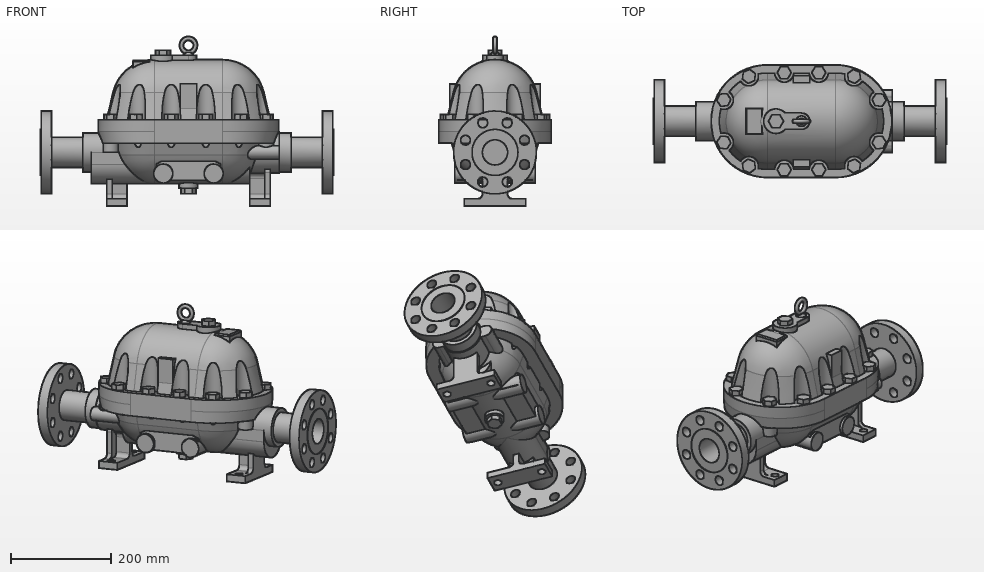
import cadquery as cq
import math

overall_length = 584.0
overall_width = 225.0
body_x = 3.0
half_straight = 68.0

flange_radius = overall_width / 2
flange_top = 65.5
flange_seam = 42.0
flange_bottom = 18.5
lower_flange_end_draft = 4.0

cover_crown_z = 185.0
cover_crown_radius = 85.0
cover_taper = 13.5
bowl_crown_z = -62.5
bowl_crown_radius = 83.5
bowl_taper = 17.6

bolt_circle_diameter = 193.5
bolt_circle_radius = bolt_circle_diameter / 2
bolt_straight_x = 34.5
bolt_end_angles = (26.0, 67.5)
bolt_head_corners = 28.0
bolt_head_height = 10.5
flute_diameter = 38.0
spotface_diameter = 25.0
end_boss_diameter = 30.5
end_boss_bottom = 0.5

pipe_flange_diameter = 165.0
pipe_flange_thickness = 21.0
raised_face_diameter = 91.5
raised_face_height = 1.0
pipe_diameter = 61.0
bore_diameter = 50.0
bore_depth = 84.5
socket_diameter = 78.0
socket_end_x = 207.5
flange_hole_diameter = 19.0
flange_hole_circle = 127.5
flange_hole_count = 8

outlet_boss_diameter = 83.0
outlet_boss_end_x = 184.0
lug_diameter = 27.0
lug_y = 49.0

trough_start_x = -191.0
trough_axis_z = -23.5
trough_radius = socket_diameter / 2

foot_bottom = -107.0
foot_inner_x = 122.0
foot_length = 41.0
foot_width = 122.5
foot_thickness = 14.5
foot_plate_thickness = 11.0
foot_plate_width = 50.0
foot_plate_top = -27.5
foot_plate_rounding = 11.5
foot_web_thickness = 11.5
foot_fillet = 10.0
foot_hole_diameter = 15.0
foot_hole_y = 47.0

port_diameter = 38.0
port_x = 50.0
port_z = -42.0
port_face_y = 80.5
port_pad_y = 74.0
port_pad_half_length = 64.0
port_pad_top = -17.0
port_pad_bottom = -55.5
port_pad_corner = (6.5, 11.5)

side_pad_width = 32.5
side_pad_y = 90.5
side_pad_top = 136.5
name_pad_x = -94.0
name_pad_length = 34.0
name_pad_width = 52.5
name_pad_top = 184.0
name_pad_height = 29.0
name_pad_bevel = (3.5, 2.0)

top_pad_z = 194.0
top_plug_x = -51.0
top_plug_pad_radius = 24.5
eye_pad_radius = 16.5
plug_hex_corners = 30.5
top_plug_height = 10.0
eye_outer_diameter = 36.0
eye_hole_diameter = 19.0
eye_top_z = 231.0
eye_base_diameter = 21.0
eye_neck_diameter = 11.5
drain_boss_diameter = 38.0
drain_boss_bottom = -71.0
drain_plug_height = 11.0


hexagon_sides = 6


def cylinder_x(diameter, x_start, x_end, y=0.0, z=0.0):
    plane = cq.Workplane("YZ", origin=(x_start, y, z))
    return plane.circle(diameter / 2).extrude(x_end - x_start)


def cylinder_z(diameter, x, y, z_start, z_end):
    plane = cq.Workplane("XY", origin=(x, y, z_start))
    return plane.circle(diameter / 2).extrude(z_end - z_start)


def box(x_range, y_range, z_range):
    lengths = [end - start for start, end in (x_range, y_range, z_range)]
    corner = (x_range[0], y_range[0], z_range[0])
    return cq.Workplane("XY").box(*lengths, centered=False).translate(corner)


def hexagon(corners, x, y, z_start, height):
    return cq.Workplane("XY", origin=(x, y, z_start)).polygon(hexagon_sides, corners).extrude(height)


def oval_shell(crown_z, radius, taper, base_z):
    """Solid with a half-round cross-section swept round an oval; the crown may point up or down."""
    up = 1 if crown_z > base_z else -1
    angle = math.radians(taper)
    centre_z = crown_z - up * radius
    wall_y = radius * math.cos(angle)
    wall_z = centre_z + up * radius * math.sin(angle)
    base_y = wall_y + abs(wall_z - base_z) * math.tan(angle)
    mid_angle = (math.pi / 2 + angle) / 2
    mid_y = radius * math.cos(mid_angle)
    mid_z = centre_z + up * radius * math.sin(mid_angle)

    def half_section(plane):
        return (
            plane.moveTo(0, base_z)
            .lineTo(base_y, base_z)
            .lineTo(wall_y, wall_z)
            .threePointArc((mid_y, mid_z), (0, crown_z))
            .close()
        )

    end = half_section(cq.Workplane("XZ")).revolve(360, (0, 0, 0), (0, 1, 0))
    half = half_section(cq.Workplane("YZ", origin=(-half_straight, 0, 0))).extrude(2 * half_straight)
    shell = half.union(half.mirror("XZ"))
    for side in (-1, 1):
        shell = shell.union(end.translate((side * half_straight, 0, 0)))
    return shell.translate((body_x, 0, 0))


def bolt_positions():
    """Every cover bolt: whether it is beside a pipe, its outward angle in degrees, its x and its y."""
    bolts = []
    for end_angle in (0, 180):
        end_x = body_x + half_straight * math.cos(math.radians(end_angle))
        for offset in bolt_end_angles:
            for angle in (end_angle - offset, end_angle + offset):
                x = end_x + bolt_circle_radius * math.cos(math.radians(angle))
                y = bolt_circle_radius * math.sin(math.radians(angle))
                bolts.append((offset == bolt_end_angles[0], angle, x, y))
    for side in (-1, 1):
        for x in (body_x - bolt_straight_x, body_x + bolt_straight_x):
            bolts.append((False, side * 90, x, side * bolt_circle_radius))
    return bolts


def make_flange():
    flange = box(
        (body_x - half_straight, body_x + half_straight),
        (-flange_radius, flange_radius),
        (flange_bottom, flange_top),
    )
    for side in (-1, 1):
        x = body_x + side * half_straight
        upper = cylinder_z(2 * flange_radius, x, 0, flange_seam, flange_top)
        lower = (
            cq.Workplane("XY", origin=(x, 0, flange_bottom))
            .ellipse(flange_radius - lower_flange_end_draft, flange_radius)
            .workplane(offset=flange_seam - flange_bottom)
            .ellipse(flange_radius, flange_radius)
            .loft()
        )
        flange = flange.union(upper).union(lower)
    return flange


def make_cover():
    cover = oval_shell(cover_crown_z, cover_crown_radius, cover_taper, flange_top)
    for _, _, x, y in bolt_positions():
        cover = cover.cut(cylinder_z(flute_diameter, x, y, flange_top, cover_crown_z))
    pad_x = (body_x - side_pad_width / 2, body_x + side_pad_width / 2)
    cover = cover.union(box(pad_x, (-side_pad_y, side_pad_y), (flange_top, side_pad_top)))
    name_pad = (
        cq.Workplane("XY", origin=(body_x + name_pad_x, 0, name_pad_top))
        .rect(name_pad_length, name_pad_width)
        .extrude(-name_pad_height)
        .faces(">Z")
        .chamfer(*name_pad_bevel)
    )
    return cover.union(name_pad)


def make_bowl():
    bowl = oval_shell(bowl_crown_z, bowl_crown_radius, bowl_taper, flange_bottom)
    for at_pipe_end, _, x, y in bolt_positions():
        if not at_pipe_end:
            bowl = bowl.cut(cylinder_z(spotface_diameter, x, y, bowl_crown_z, flange_bottom))
    corner_height, corner_length = port_pad_corner
    upper_half_length = port_pad_half_length - corner_length
    pad = (
        cq.Workplane("XZ", origin=(body_x, port_pad_y, 0))
        .moveTo(-port_pad_half_length, port_pad_bottom)
        .lineTo(port_pad_half_length, port_pad_bottom)
        .lineTo(port_pad_half_length, port_pad_top - corner_height)
        .lineTo(upper_half_length, port_pad_top)
        .lineTo(-upper_half_length, port_pad_top)
        .lineTo(-port_pad_half_length, port_pad_top - corner_height)
        .close()
        .extrude(2 * port_pad_y)
    )
    bowl = bowl.union(pad)
    for side in (-1, 1):
        port = (
            cq.Workplane("XZ", origin=(body_x + side * port_x, port_face_y, port_z))
            .circle(port_diameter / 2)
            .extrude(2 * port_face_y)
        )
        bowl = bowl.union(port)
    return bowl


def add_bolts(body):
    for at_pipe_end, outward_angle, x, y in bolt_positions():
        head = hexagon(bolt_head_corners, 0, 0, flange_top, bolt_head_height)
        head = head.rotate((0, 0, 0), (0, 0, 1), outward_angle + 180 / hexagon_sides)
        body = body.union(head.translate((x, y, 0)))
        if at_pipe_end:
            body = body.union(cylinder_z(end_boss_diameter, x, y, end_boss_bottom, flange_bottom))
    return body


def make_top_pad():
    plug_x = body_x + top_plug_x
    seat_z = cover_crown_z - eye_pad_radius
    pad = cylinder_z(2 * top_plug_pad_radius, plug_x, 0, seat_z, top_pad_z)
    pad = pad.union(box((plug_x, body_x), (-eye_pad_radius, eye_pad_radius), (seat_z, top_pad_z)))
    pad = pad.union(cylinder_z(2 * eye_pad_radius, body_x, 0, seat_z, top_pad_z))
    return pad.union(hexagon(plug_hex_corners, plug_x, 0, top_pad_z, top_plug_height))


def make_lifting_eye():
    wire_radius = (eye_outer_diameter - eye_hole_diameter) / 4
    ring_radius = eye_outer_diameter / 2 - wire_radius
    centre_z = eye_top_z - eye_outer_diameter / 2
    ring_bottom = centre_z - ring_radius
    ring = cq.Workplane(cq.Solid.makeTorus(ring_radius, wire_radius, cq.Vector(0, 0, 0), cq.Vector(0, 1, 0)))
    neck = cq.Workplane(
        cq.Solid.makeCone(eye_base_diameter / 2, eye_neck_diameter / 2, ring_bottom - top_pad_z)
    )
    return ring.translate((body_x, 0, centre_z)).union(neck.translate((body_x, 0, top_pad_z)))


def make_drain():
    boss = cylinder_z(drain_boss_diameter, body_x, 0, drain_boss_bottom, trough_axis_z)
    plug = hexagon(plug_hex_corners, body_x, 0, drain_boss_bottom, -drain_plug_height)
    return boss.union(plug)


def make_trough():
    end_x = body_x + foot_inner_x
    round_part = cylinder_x(2 * trough_radius, trough_start_x, end_x, z=trough_axis_z)
    upper = box((trough_start_x, end_x), (-trough_radius, trough_radius), (trough_axis_z, 0))
    return round_part.union(upper)


def corner_fillets(wall_width, x_range, z, up):
    """Concave fillets along both sides of a wall, rising (up = 1) or falling (up = -1) from height z."""
    fillets = cq.Workplane("XY")
    centre_z = z + up * foot_fillet
    for side in (-1, 1):
        wall_y = side * wall_width / 2
        centre_y = wall_y + side * foot_fillet
        block = box(x_range, sorted((wall_y, centre_y)), sorted((z, centre_z)))
        fillets = fillets.union(block.cut(cylinder_x(2 * foot_fillet, *x_range, centre_y, centre_z)))
    return fillets


def make_foot():
    outer_x = foot_inner_x + foot_length
    base_top = foot_bottom + foot_thickness
    base = box(
        (foot_inner_x, outer_x),
        (-foot_width / 2, foot_width / 2),
        (foot_bottom, base_top),
    )
    plate_x = (outer_x - foot_plate_thickness, outer_x)
    plate_y = (-foot_plate_width / 2, foot_plate_width / 2)
    plate = box(plate_x, plate_y, (base_top, foot_plate_top)).edges("|X and >Z").fillet(foot_plate_rounding)
    web_x = (foot_inner_x, outer_x)
    web = box(web_x, (-foot_web_thickness / 2, foot_web_thickness / 2), (base_top, trough_axis_z))
    foot = base.union(plate).union(web)
    foot = foot.union(corner_fillets(foot_plate_width, plate_x, base_top, 1))
    foot = foot.union(corner_fillets(foot_web_thickness, web_x, base_top, 1))
    foot = foot.union(corner_fillets(foot_web_thickness, web_x, -outlet_boss_diameter / 2, -1))
    hole_x = foot_inner_x + foot_length / 2
    for hole_y in (-foot_hole_y, foot_hole_y):
        foot = foot.cut(cylinder_z(foot_hole_diameter, hole_x, hole_y, foot_bottom, base_top))
    return foot


def make_pipe_end():
    """Socket, pipe and bolted flange of the +X end."""
    end_x = overall_length / 2
    face_x = end_x - raised_face_height
    pipe = cylinder_x(socket_diameter, 0, socket_end_x)
    pipe = pipe.union(cylinder_x(pipe_diameter, 0, face_x))
    inner_x = face_x - pipe_flange_thickness
    pipe_flange = cylinder_x(pipe_flange_diameter, inner_x, face_x)
    for index in range(flange_hole_count):
        angle = 2 * math.pi * (index + 0.5) / flange_hole_count
        y = flange_hole_circle / 2 * math.cos(angle)
        z = flange_hole_circle / 2 * math.sin(angle)
        pipe_flange = pipe_flange.cut(cylinder_x(flange_hole_diameter, inner_x, face_x, y, z))
    raised_face = cylinder_x(raised_face_diameter, inner_x, end_x)
    return pipe.union(pipe_flange).union(raised_face)


def make_outlet_boss():
    boss_start_x = body_x + half_straight
    boss = cylinder_x(outlet_boss_diameter, boss_start_x, outlet_boss_end_x)
    lug_z = (-lug_diameter / 2, lug_diameter / 2)
    boss = boss.union(box((boss_start_x, outlet_boss_end_x), (-lug_y, lug_y), lug_z))
    for side in (-1, 1):
        boss = boss.union(cylinder_x(lug_diameter, boss_start_x, outlet_boss_end_x, side * lug_y))
    return boss


pipe_end = make_pipe_end()
foot = make_foot()

result = make_flange().union(make_cover()).union(make_bowl())
result = add_bolts(result)
result = result.union(make_top_pad()).union(make_lifting_eye())
result = result.union(make_trough()).union(make_drain())
result = result.union(make_outlet_boss()).union(pipe_end).union(pipe_end.mirror("YZ"))
result = result.union(foot.translate((body_x, 0, 0)))
result = result.union(foot.mirror("YZ").translate((body_x, 0, 0)))
bore_end_x = overall_length / 2
for side in (-1, 1):
    result = result.cut(cylinder_x(bore_diameter, side * bore_end_x, side * (bore_end_x - bore_depth)))